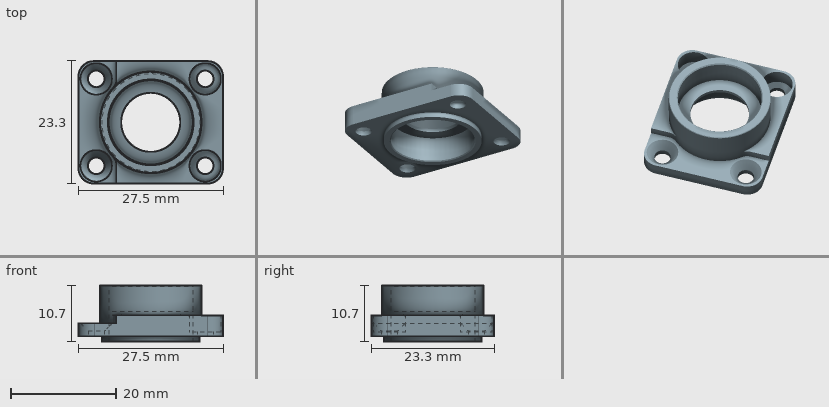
import cadquery as cq
import math

length = 27.5
width = 23.3
corner_radius = 3.0
plate_height = 4.0
low_height = 2.5
step_x = -6.55
step_fillet = 2.0

hub_radius = 9.68
hub_edge_chamfer = 0.1
hub_top = 9.7
spigot_radius = 9.3
spigot_height = 1.0

bore_radius = 5.58
seat_radius = 7.98
seat_edge_chamfer = 0.2
upper_seat_depth = 4.92
lip_thickness = 0.7

hole_x = 10.35
hole_y = 8.25
hole_diameter = 3.1
head_diameter = 6.0
countersink_angle = 90
counterbore_floor = 0.9


def cylinder(radius, bottom, top):
    return cq.Workplane("XY").workplane(offset=bottom).circle(radius).extrude(top - bottom)


def stepped_plate():
    """Rounded plate lowered on its -X end, the step wall blending into the hub."""
    plate = (
        cq.Workplane("XY")
        .rect(length, width)
        .extrude(plate_height)
        .edges("|Z")
        .fillet(corner_radius)
    )

    arc_x = step_x - step_fillet
    arc_y = math.sqrt((hub_radius + step_fillet) ** 2 - arc_x**2)
    hub_share = hub_radius / (hub_radius + step_fillet)
    touch_x = arc_x * hub_share
    touch_y = arc_y * hub_share
    mid_angle = math.atan2(-arc_y, -arc_x) / 2
    mid_x = arc_x + step_fillet * math.cos(mid_angle)
    mid_y = arc_y + step_fillet * math.sin(mid_angle)

    low_area = (
        cq.Workplane("XY")
        .workplane(offset=low_height)
        .moveTo(-length / 2, -width / 2)
        .lineTo(step_x, -width / 2)
        .lineTo(step_x, -arc_y)
        .threePointArc((mid_x, -mid_y), (touch_x, -touch_y))
        .lineTo(touch_x, touch_y)
        .threePointArc((mid_x, mid_y), (step_x, arc_y))
        .lineTo(step_x, width / 2)
        .lineTo(-length / 2, width / 2)
        .close()
        .extrude(plate_height - low_height)
    )
    return plate.cut(low_area)


def central_bore():
    """Cutter for the bore and both seats, with chamfered seat mouths."""
    lip_top = hub_top - upper_seat_depth
    lip_bottom = lip_top - lip_thickness
    mouth_radius = seat_radius + seat_edge_chamfer
    profile = [
        (0, -spigot_height),
        (mouth_radius, -spigot_height),
        (seat_radius, -spigot_height + seat_edge_chamfer),
        (seat_radius, lip_bottom),
        (bore_radius, lip_bottom),
        (bore_radius, lip_top),
        (seat_radius, lip_top),
        (seat_radius, hub_top - seat_edge_chamfer),
        (mouth_radius, hub_top),
        (0, hub_top),
    ]
    return cq.Workplane("XZ").polyline(profile).close().revolve(360, (0, 0), (0, 1))


def countersunk_hole():
    sink_depth = (head_diameter - hole_diameter) / 2 / math.tan(math.radians(countersink_angle / 2))
    profile = [
        (0, 0),
        (hole_diameter / 2, 0),
        (hole_diameter / 2, low_height - sink_depth),
        (head_diameter / 2, low_height),
        (0, low_height),
    ]
    return cq.Workplane("XZ").polyline(profile).close().revolve(360, (0, 0), (0, 1))


def counterbored_hole():
    through_hole = cylinder(hole_diameter / 2, 0, plate_height)
    return through_hole.union(cylinder(head_diameter / 2, counterbore_floor, plate_height))


hub = cylinder(hub_radius, 0, hub_top).faces(">Z").edges().chamfer(hub_edge_chamfer)
spigot = cylinder(spigot_radius, -spigot_height, 0)
result = stepped_plate().union(hub).union(spigot).cut(central_bore())

for y in (-hole_y, hole_y):
    result = result.cut(countersunk_hole().translate((-hole_x, y, 0)))
    result = result.cut(counterbored_hole().translate((hole_x, y, 0)))